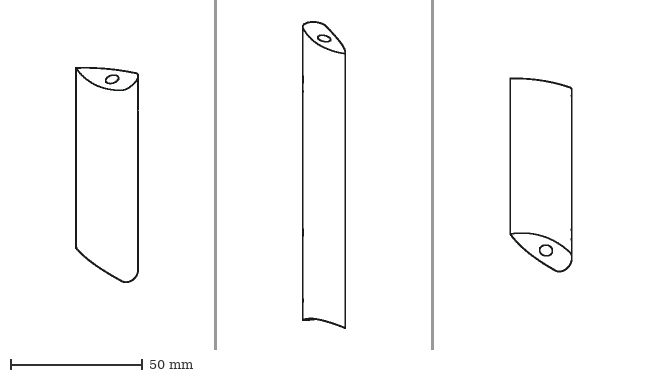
import cadquery as cq

length = 115.2
chord = 26.6
thickness = 10.8
widest_x = 18.5
nose_start_x = 23.4

top_tip_z = 107.0
top_middle = (15.9, 110.2)
bottom_tip_z = 0.9
bottom_middle = (12.5, 2.8)

hole_diameter = 4.8
hole_x = 16.2

half_thickness = thickness / 2
flank_radius = (widest_x**2 + half_thickness**2) / (2 * half_thickness)


def flank_y(x):
    """Half thickness of the section at x, along the flank arc."""
    return half_thickness - flank_radius + (flank_radius**2 - (x - widest_x) ** 2) ** 0.5


def strut_section():
    """Closed teardrop section: two flank arcs and a half-elliptical nose."""
    nose_half_width = flank_y(nose_start_x)
    nose_length = chord - nose_start_x
    return (
        cq.Workplane("XY")
        .moveTo(nose_start_x, nose_half_width)
        .threePointArc((widest_x, half_thickness), (0, 0))
        .threePointArc((widest_x, -half_thickness), (nose_start_x, -nose_half_width))
        .ellipseArc(nose_length, nose_half_width, -90, 90, startAtCurrent=True)
        .close()
    )


def side_envelope():
    """Block bounded in Z by the two concave end surfaces, wide enough in Y."""
    return (
        cq.Workplane("XZ")
        .moveTo(0, bottom_tip_z)
        .threePointArc(bottom_middle, (chord, 0))
        .lineTo(chord, length)
        .threePointArc(top_middle, (0, top_tip_z))
        .close()
        .extrude(thickness, both=True)
    )


strut = strut_section().extrude(length).intersect(side_envelope())

hole = cq.Workplane("XY").center(hole_x, 0).circle(hole_diameter / 2).extrude(length)

result = strut.cut(hole)